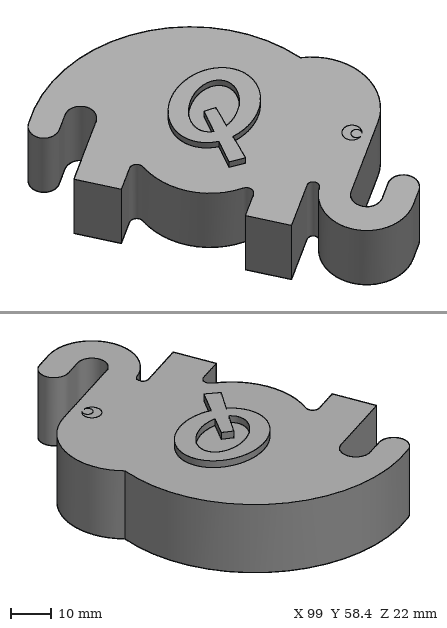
import cadquery as cq
import math

LENGTH = 99.05
BODY_THICKNESS = 20.0

TRUNK_OUTER_RADIUS = 12.0
LIMB_RADIUS = TRUNK_OUTER_RADIUS / 3
LIMB_WIDTH = 2 * LIMB_RADIUS
LIMB_LOW_Y = 15.0
LIMB_HIGH_Y = 20.0

HIND_LEG_REAR_X = 2 * LIMB_WIDTH
HIND_LEG_FRONT_X = 28.2
FORE_LEG_REAR_X = 60.1
FORE_LEG_FRONT_X = 72.0

BACK_RADIUS = 41.0
BACK_TOP_Y = 58.4
BACK_CENTRE = (BACK_RADIUS, BACK_TOP_Y - BACK_RADIUS)
TRUNK_CENTRE = (LENGTH - TRUNK_OUTER_RADIUS, LIMB_LOW_Y)
FACE_X = TRUNK_CENTRE[0] - LIMB_RADIUS
HEAD_RADIUS = 17.0
HEAD_CENTRE = (FACE_X - HEAD_RADIUS, 39.0)

BELLY_RADIUS = 20.0
BELLY_CENTRE = ((HIND_LEG_FRONT_X + FORE_LEG_REAR_X) / 2, 24.0)
BELLY_ARCH_Y = 7.2
TRUNK_ARCH_Y = 14.0

EYE_DEPTH = 2.0
EYE_RADIUS = 2.5
EYE_CENTRE = (77.9, 33.9)
PUPIL_RADIUS = 1.4
PUPIL_OFFSET = 1.2

LETTER_THICKNESS = 2.0
BOWL_CENTRE = (43.1, 31.6)
BOWL_LONG_RADIUS = 13.1
BOWL_SHORT_RADIUS = 10.8
BOWL_LEAN = 15.0
COUNTER_CENTRE = (43.1, 31.3)
COUNTER_LONG_RADIUS = 8.8
COUNTER_SHORT_RADIUS = 6.0
STROKE_CORNERS = [(43.7, 30.9), (41.2, 28.9), (51.8, 14.4), (55.4, 16.8)]


def on_circle(centre, radius, degrees):
    angle = math.radians(degrees)
    return (centre[0] + radius * math.cos(angle), centre[1] + radius * math.sin(angle))


def circle_crossing_above(centre_a, radius_a, centre_b, radius_b):
    """Upper crossing of two circles, where centre_b lies to the +X side of centre_a."""
    dx = centre_b[0] - centre_a[0]
    dy = centre_b[1] - centre_a[1]
    distance = math.hypot(dx, dy)
    along = (distance**2 + radius_a**2 - radius_b**2) / (2 * distance)
    across = math.sqrt(radius_a**2 - along**2)
    return (
        centre_a[0] + (along * dx - across * dy) / distance,
        centre_a[1] + (along * dy + across * dx) / distance,
    )


def leg_arch(leg_x, arch_y, round_centre, round_radius):
    """Arch tangent to a vertical leg side and to the outside of a round.

    Returns its end on the leg, its crown and its end on the round.
    """
    gap = abs(round_centre[0] - leg_x)
    drop = round_centre[1] - arch_y
    radius = (gap**2 + drop**2 - round_radius**2) / (2 * (gap + round_radius))
    side = math.copysign(1, round_centre[0] - leg_x)
    centre = (leg_x + side * radius, arch_y)
    share = round_radius / (round_radius + radius)
    on_round = tuple(r + share * (c - r) for r, c in zip(round_centre, centre))
    return (leg_x, arch_y), (centre[0], arch_y + radius), on_round


def make_elephant():
    neck = circle_crossing_above(BACK_CENTRE, BACK_RADIUS, HEAD_CENTRE, HEAD_RADIUS)
    hind_leg, hind_crown, belly_rear = leg_arch(
        HIND_LEG_FRONT_X, BELLY_ARCH_Y, BELLY_CENTRE, BELLY_RADIUS
    )
    fore_leg, fore_crown, belly_front = leg_arch(
        FORE_LEG_REAR_X, BELLY_ARCH_Y, BELLY_CENTRE, BELLY_RADIUS
    )
    trunk_leg, trunk_crown, trunk_root = leg_arch(
        FORE_LEG_FRONT_X, TRUNK_ARCH_Y, TRUNK_CENTRE, TRUNK_OUTER_RADIUS
    )
    back_reach = math.sqrt(BACK_RADIUS**2 - (BACK_CENTRE[1] - LIMB_LOW_Y) ** 2)
    tail_rear_x = BACK_CENTRE[0] - back_reach
    trunk_inner_x = FACE_X + LIMB_WIDTH
    return (
        cq.Workplane("XY")
        .moveTo(tail_rear_x, LIMB_LOW_Y)
        .threePointArc(on_circle(BACK_CENTRE, BACK_RADIUS, 120), neck)
        .threePointArc(on_circle(HEAD_CENTRE, HEAD_RADIUS, 60), (FACE_X, HEAD_CENTRE[1]))
        .lineTo(FACE_X, LIMB_LOW_Y)
        .threePointArc(on_circle(TRUNK_CENTRE, LIMB_RADIUS, -90), (trunk_inner_x, LIMB_LOW_Y))
        .lineTo(trunk_inner_x, LIMB_HIGH_Y)
        .threePointArc((LENGTH - LIMB_RADIUS, LIMB_HIGH_Y + LIMB_RADIUS), (LENGTH, LIMB_HIGH_Y))
        .lineTo(LENGTH, LIMB_LOW_Y)
        .threePointArc(on_circle(TRUNK_CENTRE, TRUNK_OUTER_RADIUS, -90), trunk_root)
        .threePointArc(trunk_crown, trunk_leg)
        .lineTo(FORE_LEG_FRONT_X, 0)
        .lineTo(FORE_LEG_REAR_X, 0)
        .lineTo(*fore_leg)
        .threePointArc(fore_crown, belly_front)
        .threePointArc(on_circle(BELLY_CENTRE, BELLY_RADIUS, -90), belly_rear)
        .threePointArc(hind_crown, hind_leg)
        .lineTo(HIND_LEG_FRONT_X, 0)
        .lineTo(HIND_LEG_REAR_X, 0)
        .lineTo(HIND_LEG_REAR_X, LIMB_HIGH_Y)
        .threePointArc(
            (HIND_LEG_REAR_X - LIMB_RADIUS, LIMB_HIGH_Y + LIMB_RADIUS), (LIMB_WIDTH, LIMB_HIGH_Y)
        )
        .lineTo(LIMB_WIDTH, LIMB_LOW_Y)
        .threePointArc((LIMB_RADIUS, LIMB_LOW_Y - LIMB_RADIUS), (tail_rear_x, LIMB_LOW_Y))
        .close()
        .extrude(BODY_THICKNESS)
    )


def on_body_top():
    return cq.Workplane("XY").workplane(offset=BODY_THICKNESS)


def make_eye():
    pupil = (
        on_body_top()
        .center(EYE_CENTRE[0] + PUPIL_OFFSET, EYE_CENTRE[1])
        .circle(PUPIL_RADIUS)
        .extrude(-EYE_DEPTH)
    )
    return on_body_top().center(*EYE_CENTRE).circle(EYE_RADIUS).extrude(-EYE_DEPTH).cut(pupil)


def make_letter():
    bowl = (
        on_body_top()
        .center(*BOWL_CENTRE)
        .ellipse(BOWL_LONG_RADIUS, BOWL_SHORT_RADIUS, rotation_angle=90 - BOWL_LEAN)
        .extrude(LETTER_THICKNESS)
    )
    counter = (
        on_body_top()
        .center(*COUNTER_CENTRE)
        .ellipse(COUNTER_SHORT_RADIUS, COUNTER_LONG_RADIUS)
        .extrude(LETTER_THICKNESS)
    )
    stroke = on_body_top().polyline(STROKE_CORNERS).close().extrude(LETTER_THICKNESS)
    return bowl.cut(counter).union(stroke)


eye = make_eye()
elephant = make_elephant().cut(eye)
letter = make_letter()

result = cq.Compound.makeCompound([elephant.val(), eye.val(), letter.val()])